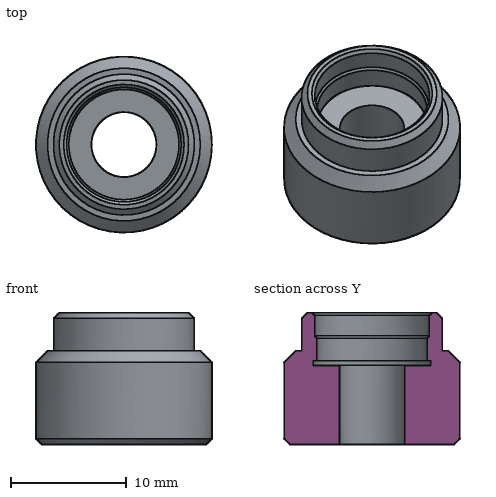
import cadquery as cq

total_height = 11.43
body_radius = 15.24 / 2
body_height = 8.128
neck_radius = 12.192 / 2

base_chamfer = 0.508
shoulder_chamfer = 1.016
neck_chamfer = 0.508

mouth_radius = 9.906 / 2
mouth_chamfer = 0.254
mouth_depth = 2.032
socket_radius = 9.525 / 2
socket_depth = 4.572
through_hole_radius = 5.6 / 2

relief_radius = 10.16 / 2
relief_height = 0.381


def turned(outline):
    """Revolve a closed (radius, height) outline about the Z axis."""
    return cq.Workplane("XZ").polyline(outline).close().revolve(360, (0, 0, 0), (0, 1, 0))


def outside():
    """Chamfered body with a narrower chamfered neck on top."""
    return turned([
        (0, 0),
        (body_radius - base_chamfer, 0),
        (body_radius, base_chamfer),
        (body_radius, body_height - shoulder_chamfer),
        (body_radius - shoulder_chamfer, body_height),
        (neck_radius, body_height),
        (neck_radius, total_height - neck_chamfer),
        (neck_radius - neck_chamfer, total_height),
        (0, total_height),
    ])


def bore():
    """Through hole, socket with its floor relief, and the wider chamfered mouth."""
    floor_z = total_height - socket_depth
    relief_top_z = floor_z + relief_height
    mouth_bottom_z = total_height - mouth_depth
    step_height = mouth_radius - socket_radius
    return turned([
        (0, 0),
        (through_hole_radius, 0),
        (through_hole_radius, floor_z),
        (relief_radius, floor_z),
        (relief_radius, relief_top_z),
        (socket_radius, relief_top_z),
        (socket_radius, mouth_bottom_z - step_height),
        (mouth_radius, mouth_bottom_z),
        (mouth_radius, total_height - mouth_chamfer),
        (mouth_radius + mouth_chamfer, total_height),
        (0, total_height),
    ])


result = outside().cut(bore())